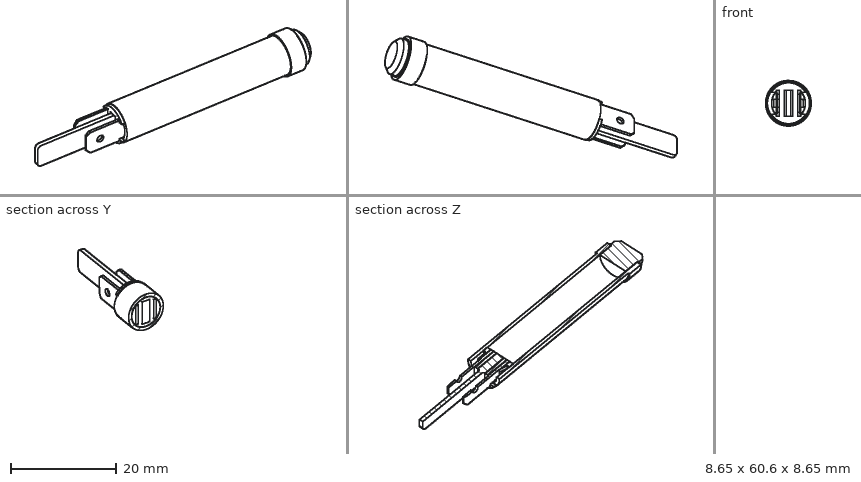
import cadquery as cq
import math

TOTAL_LENGTH = 60.55
TERMINAL_TIP_Y = 9.95
HOLE_Y = 13.0
FLANGE_FACE_Y = 17.3
HOUSING_END_Y = 18.0
COLLAR_START_Y = 55.05
HOUSING_TOP_Y = 58.45

COLLAR_RADIUS = 8.65 / 2
BARREL_RADIUS = 4.0
BORE_RADIUS = 3.2

CAP_RADIUS = 3.6
CAP_CHAMFER = 0.9
CAP_RIM_RADIUS = 3.75
CAP_RIM_HEIGHT = 0.2
CAP_STEM_LENGTH = HOUSING_TOP_Y - COLLAR_START_Y

FLANGE_RADIUS = 3.9
PLUG_DEPTH = 4.85
PLUG_END_Y = HOUSING_END_Y + PLUG_DEPTH
NOTCH_WIDTH = 4.25
NOTCH_BORE_DEPTH = 1.8
NOTCH_END_Y = HOUSING_END_Y + NOTCH_BORE_DEPTH
NOTCH_CORNER_RADIUS = 0.2
POCKET_WIDTH = 1.6
POCKET_DEPTH = 1.8
POCKET_FLOOR_RADIUS = 2.85

BLADE_WIDTH = 4.95
BLADE_THICKNESS = 0.9
BLADE_CORNER_RADIUS = 0.9
ROOT_THICKNESS = 1.7
ROOT_DEPTH = 0.05
ROOT_FILLET = (ROOT_THICKNESS - BLADE_THICKNESS) / 2
TERMINAL_INNER_X = 1.75
TERMINAL_THICKNESS = 0.55
TERMINAL_OUTER_X = TERMINAL_INNER_X + TERMINAL_THICKNESS
TAIL_WIDTH = NOTCH_WIDTH
TERMINAL_CORNER = 0.8
BEVEL_LENGTH = 0.7
BEVEL_DEPTH = 0.2
HOLE_RADIUS = 0.7


def disc(radius, y_start, y_end):
    """Cylinder on the Y axis between two stations."""
    return cq.Workplane("XZ", origin=(0, y_start, 0)).circle(radius).extrude(y_start - y_end)


def block(x_start, x_end, y_start, y_end, width):
    """Box between given X and Y limits, centred on Z = 0."""
    return (
        cq.Workplane("XY")
        .box(x_end - x_start, y_end - y_start, width, centered=(False, False, True))
        .translate((x_start, y_start, 0))
    )


def make_housing():
    """Barrel with a wider collar and a bore right through."""
    barrel = disc(BARREL_RADIUS, HOUSING_END_Y, HOUSING_TOP_Y)
    collar = disc(COLLAR_RADIUS, COLLAR_START_Y, HOUSING_TOP_Y)
    bore = disc(BORE_RADIUS, HOUSING_END_Y, HOUSING_TOP_Y)
    return barrel.union(collar).cut(bore)


def make_cap():
    """Chamfered cap with a thin rim on the collar and a stem in the bore."""
    head = disc(CAP_RADIUS, HOUSING_TOP_Y, TOTAL_LENGTH).faces(">Y").chamfer(CAP_CHAMFER)
    rim = disc(CAP_RIM_RADIUS, HOUSING_TOP_Y, HOUSING_TOP_Y + CAP_RIM_HEIGHT)
    stem = disc(BORE_RADIUS, HOUSING_TOP_Y - CAP_STEM_LENGTH, HOUSING_TOP_Y)
    return head.union(rim).union(stem)


def make_blade():
    """Long centre blade whose root in the plug flares out through concave fillets."""
    half = BLADE_THICKNESS / 2
    half_root = ROOT_THICKNESS / 2
    root_y = FLANGE_FACE_Y + ROOT_DEPTH
    fillet_start_y = root_y - ROOT_FILLET
    bend = ROOT_FILLET * (1 - math.sqrt(0.5))
    profile = (
        cq.Workplane("XY", origin=(0, 0, -BLADE_WIDTH / 2))
        .moveTo(-half, 0)
        .lineTo(half, 0)
        .lineTo(half, fillet_start_y)
        .threePointArc((half + bend, root_y - bend), (half_root, root_y))
        .lineTo(half_root, PLUG_END_Y)
        .lineTo(-half_root, PLUG_END_Y)
        .lineTo(-half_root, root_y)
        .threePointArc((-half - bend, root_y - bend), (-half, fillet_start_y))
        .close()
    )
    return profile.extrude(BLADE_WIDTH).faces("<Y").edges("|X").fillet(BLADE_CORNER_RADIUS)


def make_terminal(side):
    """Short flat terminal on one side (-1 or 1), with a bevelled tip and a narrower tail in the bore."""
    plate = block(TERMINAL_INNER_X, TERMINAL_OUTER_X, TERMINAL_TIP_Y, HOUSING_END_Y, BLADE_WIDTH)
    plate = plate.faces("<Y").edges("|X").chamfer(TERMINAL_CORNER)
    tail = block(TERMINAL_INNER_X, TERMINAL_OUTER_X, HOUSING_END_Y, PLUG_END_Y, TAIL_WIDTH)
    bevel = (
        cq.Workplane("XY", origin=(0, 0, -BLADE_WIDTH / 2))
        .moveTo(TERMINAL_OUTER_X - BEVEL_DEPTH, TERMINAL_TIP_Y)
        .lineTo(TERMINAL_OUTER_X, TERMINAL_TIP_Y)
        .lineTo(TERMINAL_OUTER_X, TERMINAL_TIP_Y + BEVEL_LENGTH)
        .close()
        .extrude(BLADE_WIDTH)
    )
    hole = cq.Workplane("YZ").center(HOLE_Y, 0).circle(HOLE_RADIUS).extrude(TERMINAL_OUTER_X)
    terminal = plate.union(tail).cut(bevel).cut(hole)
    return terminal if side > 0 else terminal.mirror("YZ")


def make_notch():
    """Cutter for the notch through the flange and into the bore, outside the +X terminal."""
    notch = block(TERMINAL_OUTER_X, FLANGE_RADIUS, FLANGE_FACE_Y, NOTCH_END_Y, NOTCH_WIDTH)
    return notch.edges("|Y and <X").fillet(NOTCH_CORNER_RADIUS)


def make_pocket():
    """Cutter for the pocket in the floor of the +X notch; its inner wall is a cone."""
    pocket_end_y = NOTCH_END_Y + POCKET_DEPTH
    window = block(TERMINAL_OUTER_X, BORE_RADIUS, NOTCH_END_Y, pocket_end_y, POCKET_WIDTH)
    cone = cq.Workplane("XY").add(
        cq.Solid.makeCone(
            TERMINAL_OUTER_X,
            POCKET_FLOOR_RADIUS,
            POCKET_DEPTH,
            pnt=cq.Vector(0, NOTCH_END_Y, 0),
            dir=cq.Vector(0, 1, 0),
        )
    )
    return window.cut(cone)


def make_plug():
    """Flanged plug closing the bore, slotted for the blade and both terminals."""
    flange = disc(FLANGE_RADIUS, FLANGE_FACE_Y, HOUSING_END_Y)
    plug = flange.union(disc(BORE_RADIUS, HOUSING_END_Y, PLUG_END_Y))
    blade_slot = block(-ROOT_THICKNESS / 2, ROOT_THICKNESS / 2, FLANGE_FACE_Y, PLUG_END_Y, BLADE_WIDTH)
    plate_slot = block(TERMINAL_INNER_X, TERMINAL_OUTER_X, FLANGE_FACE_Y, HOUSING_END_Y, BLADE_WIDTH)
    tail_slot = block(TERMINAL_INNER_X, TERMINAL_OUTER_X, HOUSING_END_Y, PLUG_END_Y, TAIL_WIDTH)
    plug = plug.cut(blade_slot)
    for cutter in (plate_slot, tail_slot, make_notch(), make_pocket()):
        plug = plug.cut(cutter).cut(cutter.mirror("YZ"))
    return plug


housing = make_housing()
cap = make_cap()
plug = make_plug()
blade = make_blade()
terminals = [make_terminal(side) for side in (-1, 1)]

bodies = [housing, cap, plug, blade, *terminals]
result = cq.Compound.makeCompound([body.solids().val() for body in bodies])